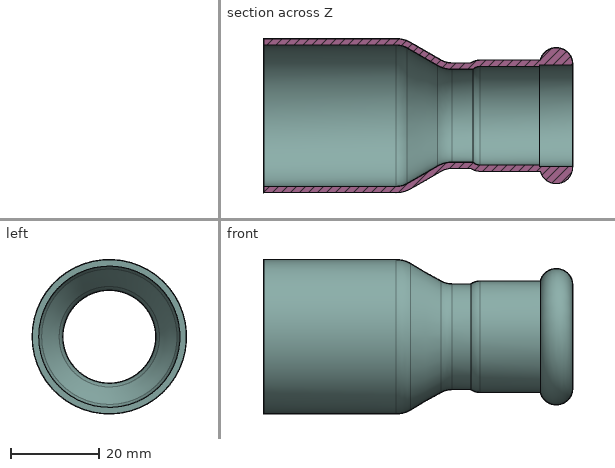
import cadquery as cq
import math

total_length = 70.0
wall = 1.5

spigot_radius = 35.0 / 2
spigot_length = 30.0
neck_radius = 24.0 / 2
cone_angle = math.radians(30.0)
inner_bend_radius = 5.0
outer_bend_radius = inner_bend_radius + wall

socket_radius = 25.3 / 2
shoulder_start = 46.9
shoulder_bend_radius = 3.75

bead_radius = 30.9 / 2
bead_tube_radius = 3.75
mouth_radius = 22.9 / 2

spigot_bend_center_radius = spigot_radius - outer_bend_radius
neck_bend_center_radius = neck_radius + inner_bend_radius
bend_center_rise = neck_bend_center_radius - spigot_bend_center_radius
bend_center_gap = (
    outer_bend_radius + inner_bend_radius - bend_center_rise * math.cos(cone_angle)
) / math.sin(cone_angle)
spigot_bend_center = (spigot_length, spigot_bend_center_radius)
neck_bend_center = (spigot_length + bend_center_gap, neck_bend_center_radius)

shoulder_center_radius = socket_radius - shoulder_bend_radius
shoulder_length = math.sqrt(shoulder_bend_radius**2 - (neck_radius - shoulder_center_radius) ** 2)
shoulder_center = (shoulder_start + shoulder_length, shoulder_center_radius)

bead_center = (total_length - bead_tube_radius, bead_radius - bead_tube_radius)


def on_arc(center, radius, angle):
    """Profile point on a circle; the angle turns from straight outward toward +X."""
    return (center[0] + radius * math.sin(angle), center[1] + radius * math.cos(angle))


def angle_at(center, radius, profile_radius):
    """Angle at which a circle reaches a given distance from the pipe axis."""
    return math.acos((profile_radius - center[1]) / radius)


def add_arc(profile, center, radius, start_angle, end_angle):
    """Run to the start of an arc, then follow the arc to its end."""
    middle_angle = (start_angle + end_angle) / 2
    return profile.lineTo(*on_arc(center, radius, start_angle)).threePointArc(
        on_arc(center, radius, middle_angle), on_arc(center, radius, end_angle)
    )


def add_pipe_wall(profile, depth):
    """Follow the wall from spigot to socket, at a depth below the outer skin."""
    profile = add_arc(profile, spigot_bend_center, outer_bend_radius - depth, 0, cone_angle)
    profile = add_arc(
        profile, neck_bend_center, inner_bend_radius + depth, math.pi + cone_angle, math.pi
    )
    shoulder_radius = shoulder_bend_radius - depth
    shoulder_angle = angle_at(shoulder_center, shoulder_radius, neck_radius - depth)
    return add_arc(profile, shoulder_center, shoulder_radius, -shoulder_angle, 0)


def revolve_profile(profile):
    return profile.close().revolve(360, (0, 0, 0), (1, 0, 0))


def make_body():
    """Solid of the outer skin, ending in the rounded bead."""
    profile = cq.Workplane("XY").lineTo(0, spigot_radius)
    profile = add_pipe_wall(profile, 0)
    bead_angle = angle_at(bead_center, bead_tube_radius, socket_radius)
    profile = add_arc(profile, bead_center, bead_tube_radius, -bead_angle, math.pi / 2)
    return revolve_profile(profile.lineTo(total_length, 0))


def make_bore():
    """Passage through the pipe, widened at the bead to form the mouth."""
    bead_start = bead_center[0] - bead_tube_radius
    profile = cq.Workplane("XY").lineTo(0, spigot_radius - wall)
    profile = add_pipe_wall(profile, wall)
    profile = profile.lineTo(bead_start, socket_radius - wall)
    profile = profile.lineTo(bead_start, mouth_radius).lineTo(total_length, mouth_radius)
    return revolve_profile(profile.lineTo(total_length, 0))


result = make_body().cut(make_bore())